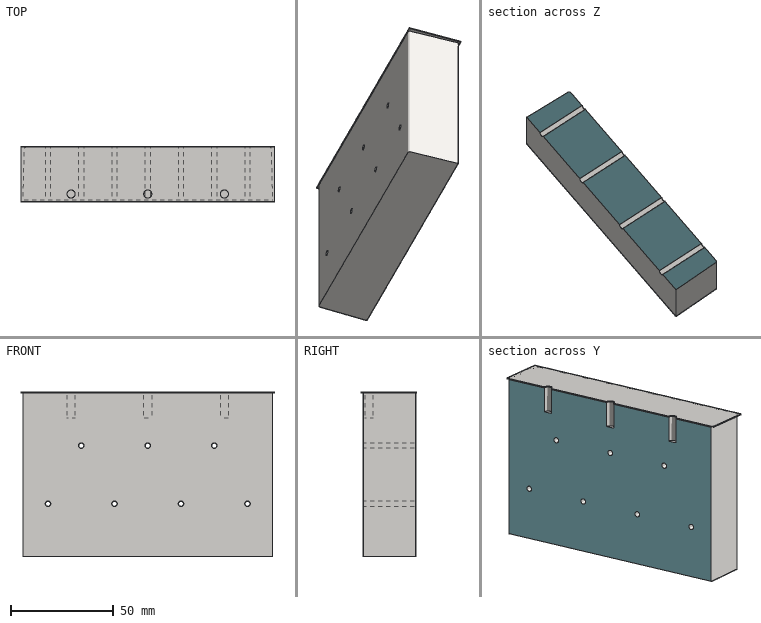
import cadquery as cq
import math

LID_LENGTH = 124.0
LID_WIDTH = 27.0
LID_THICKNESS = 0.5

TOTAL_HEIGHT = 80.5
BLOCK_HEIGHT = TOTAL_HEIGHT - LID_THICKNESS
LID_OVERHANG = 1.0
LID_BACK_OVERHANG = 0.2
BLOCK_LENGTH = LID_LENGTH - 2 * LID_OVERHANG
BLOCK_FRONT_Y = -LID_WIDTH / 2 + LID_OVERHANG
BLOCK_BACK_Y = LID_WIDTH / 2 - LID_BACK_OVERHANG
BLOCK_WIDTH = BLOCK_BACK_Y - BLOCK_FRONT_Y
SIDE_DRAFT = 1.6
BACK_LENGTH = BLOCK_LENGTH - 2 * BLOCK_WIDTH * math.tan(math.radians(SIDE_DRAFT))
BACK_CORNER_RADIUS = 1.0

CROSS_HOLE_DIAMETER = 2.5
CROSS_HOLE_PITCH = 32.5
LOWER_ROW_Z = 25.8
LOWER_ROW_COUNT = 4
UPPER_ROW_Z = 54.2
UPPER_ROW_COUNT = 3

TOP_HOLE_DIAMETER = 4.0
TOP_HOLE_PITCH = 37.5
TOP_HOLE_COUNT = 3
TOP_HOLE_INSET = 3.8
TOP_HOLE_Y = -LID_WIDTH / 2 + TOP_HOLE_INSET
TOP_HOLE_DEPTH = 12.4


def row_positions(count, pitch):
    """X positions of a row of evenly spaced holes centred on X = 0."""
    return [(i - (count - 1) / 2) * pitch for i in range(count)]


def cross_holes():
    """Cylinders along Y for both rows of cross holes."""
    rows = [(LOWER_ROW_COUNT, LOWER_ROW_Z), (UPPER_ROW_COUNT, UPPER_ROW_Z)]
    centres = [(x, z) for count, z in rows for x in row_positions(count, CROSS_HOLE_PITCH)]
    return (
        cq.Workplane("XZ", origin=(0, BLOCK_BACK_Y, 0))
        .pushPoints(centres)
        .circle(CROSS_HOLE_DIAMETER / 2)
        .extrude(BLOCK_WIDTH)
    )


def top_holes():
    """Vertical cylinders from the blind hole floors up to the top of the lid."""
    centres = [(x, TOP_HOLE_Y) for x in row_positions(TOP_HOLE_COUNT, TOP_HOLE_PITCH)]
    return (
        cq.Workplane("XY", origin=(0, 0, BLOCK_HEIGHT - TOP_HOLE_DEPTH))
        .pushPoints(centres)
        .circle(TOP_HOLE_DIAMETER / 2)
        .extrude(TOP_HOLE_DEPTH + LID_THICKNESS)
    )


def make_block():
    """Block with leaning ends, rounded back corners, cross holes and blind top holes."""
    corners = [
        (-BLOCK_LENGTH / 2, BLOCK_FRONT_Y),
        (BLOCK_LENGTH / 2, BLOCK_FRONT_Y),
        (BACK_LENGTH / 2, BLOCK_BACK_Y),
        (-BACK_LENGTH / 2, BLOCK_BACK_Y),
    ]
    body = (
        cq.Workplane("XY")
        .polyline(corners)
        .close()
        .extrude(BLOCK_HEIGHT)
        .edges("|Z and >Y")
        .fillet(BACK_CORNER_RADIUS)
    )
    return body.cut(cross_holes()).cut(top_holes())


def make_lid():
    """Thin plate on top of the block, pierced by the top holes."""
    plate = (
        cq.Workplane("XY", origin=(0, 0, BLOCK_HEIGHT))
        .rect(LID_LENGTH, LID_WIDTH)
        .extrude(LID_THICKNESS)
    )
    return plate.cut(top_holes())


block = make_block()
lid = make_lid()

result = cq.Compound.makeCompound([block.val(), lid.val()])